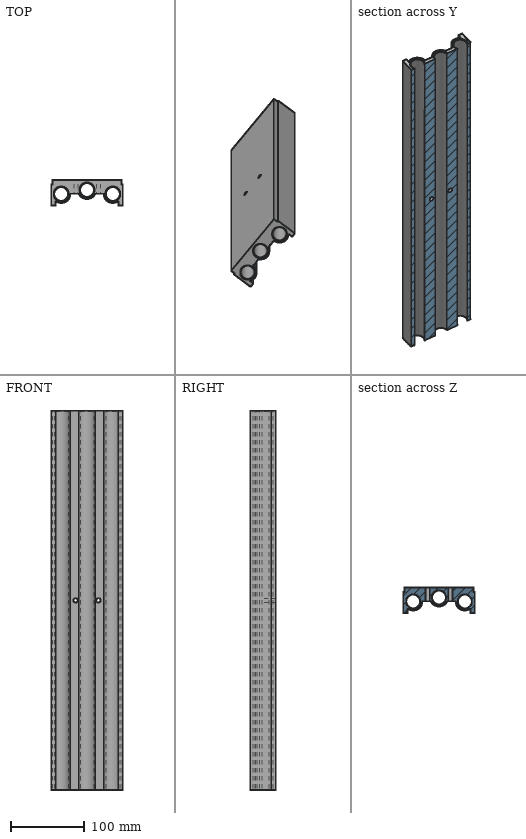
import cadquery as cq

length = 518.0
width = 98.0
depth = 35.0

leg_thickness = 6.0

shoulder_inset = 1.5
shoulder_depth = 6.0

bore_radius = 9.5
bore_chamfer = 1.0
tube_wall = 3.0
side_tube_offset = 35.0
side_tube_y = -1.5
center_tube_y = 3.9

mount_hole_diameter = 5.5
mount_hole_spacing = 31.0

half_width = width / 2
rear_y = depth / 2
top_z = length / 2
bottom_z = -length / 2
web_thickness = rear_y - side_tube_y
tube_radius = bore_radius + tube_wall
tube_centers = [
    (-side_tube_offset, side_tube_y),
    (0, center_tube_y),
    (side_tube_offset, side_tube_y),
]


def bar(x_size, y_size, x_center, y_center):
    """Full-length rectangular bar centred at the given place in XY."""
    return cq.Workplane("XY", origin=(x_center, y_center, bottom_z)).rect(x_size, y_size).extrude(length)


def tube_cylinders(radius):
    """Full-length cylinders on the three tube axes."""
    return cq.Workplane("XY", origin=(0, 0, bottom_z)).pushPoints(tube_centers).circle(radius).extrude(length)


def bore_mouth(x, y, end_z, inward):
    """Cone that chamfers one bore mouth; inward is the Z sign pointing into the part."""
    cone = cq.Solid.makeCone(
        bore_radius + bore_chamfer,
        bore_radius,
        bore_chamfer,
        pnt=cq.Vector(x, y, end_z),
        dir=cq.Vector(0, 0, inward),
    )
    return cq.Workplane(cone)


body = bar(width, web_thickness, 0, rear_y - web_thickness / 2)
for side in (-1, 1):
    leg_x = side * (half_width - leg_thickness / 2)
    shoulder_x = side * (half_width - shoulder_inset / 2)
    body = body.union(bar(leg_thickness, depth, leg_x, 0))
    body = body.cut(bar(shoulder_inset, shoulder_depth, shoulder_x, rear_y - shoulder_depth / 2))

body = body.union(tube_cylinders(tube_radius))
body = body.cut(tube_cylinders(bore_radius))
for x, y in tube_centers:
    body = body.cut(bore_mouth(x, y, top_z, -1))
    body = body.cut(bore_mouth(x, y, bottom_z, 1))

mount_holes = (
    cq.Workplane("XZ", origin=(0, rear_y, 0))
    .pushPoints([(-mount_hole_spacing / 2, 0), (mount_hole_spacing / 2, 0)])
    .circle(mount_hole_diameter / 2)
    .extrude(depth)
)
result = body.cut(mount_holes)